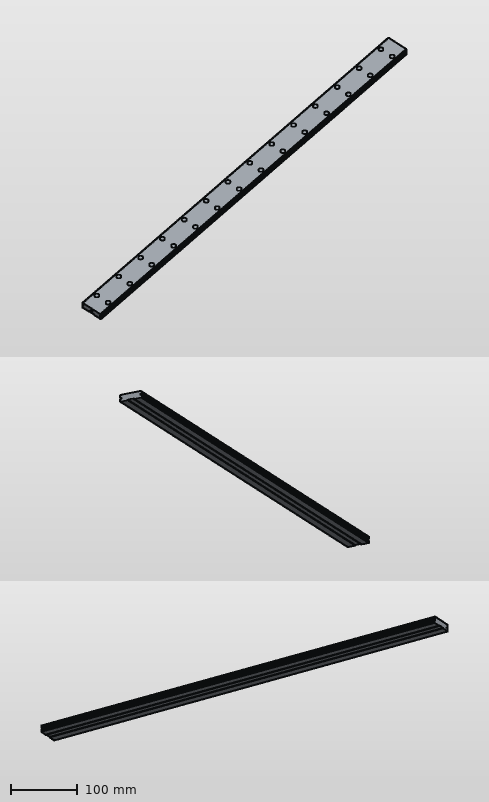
import cadquery as cq

WIDTH = 37.0
LENGTH = 700.0
HEIGHT = 11.0
TOP_CHAMFER = 1.3
BOTTOM_CHAMFER = 0.5

GROOVE_DEPTH = 2.5
GROOVE_TOP_Z = 7.0
GROOVE_FLOOR_TOP_Z = 6.0
GROOVE_FLOOR_BOTTOM_Z = 5.5
GROOVE_BOTTOM_Z = 3.0

RELIEF_WIDTH = 10.0
RELIEF_DEPTH = 1.0

ROW_SPACING = 22.0
ROW_COUNT = 2
HOLE_PITCH = 50.0
HOLES_PER_ROW = 14
CAP_DIAMETER = 7.5
CAP_RECESS_DEPTH = 0.2

END_HOLE_DIAMETER = 3.0
END_HOLE_DEPTH = 8.0


def rail_body():
    """Constant cross-section bar with chamfers, side grooves and underside relief."""
    side_x = WIDTH / 2
    floor_x = side_x - GROOVE_DEPTH
    relief_x = RELIEF_WIDTH / 2
    right_half = [
        (relief_x, RELIEF_DEPTH),
        (relief_x, 0),
        (side_x - BOTTOM_CHAMFER, 0),
        (side_x, BOTTOM_CHAMFER),
        (side_x, GROOVE_BOTTOM_Z),
        (floor_x, GROOVE_FLOOR_BOTTOM_Z),
        (floor_x, GROOVE_FLOOR_TOP_Z),
        (side_x, GROOVE_TOP_Z),
        (side_x, HEIGHT - TOP_CHAMFER),
        (side_x - TOP_CHAMFER, HEIGHT),
    ]
    left_half = [(-x, z) for x, z in reversed(right_half)]
    section = cq.Workplane("XZ").polyline(right_half + left_half).close()
    return section.extrude(LENGTH / 2, both=True)


def cap_recesses():
    """Cutters for the shallow round recesses in the top face."""
    return (
        cq.Workplane("XY", origin=(0, 0, HEIGHT))
        .rarray(ROW_SPACING, HOLE_PITCH, ROW_COUNT, HOLES_PER_ROW)
        .circle(CAP_DIAMETER / 2)
        .extrude(-CAP_RECESS_DEPTH)
    )


def end_hole():
    """Cutter for the blind hole entering from the -Y end face."""
    return (
        cq.Workplane("XZ", origin=(0, -LENGTH / 2, HEIGHT / 2))
        .circle(END_HOLE_DIAMETER / 2)
        .extrude(-END_HOLE_DEPTH)
    )


result = rail_body().cut(cap_recesses()).cut(end_hole())